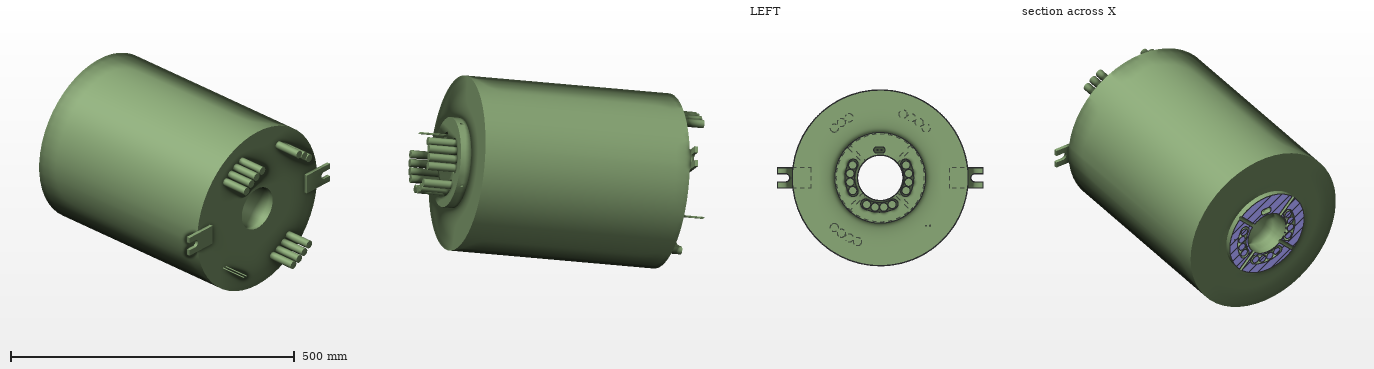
import cadquery as cq
import math

overall_length = 501
cable_length = 50.0

housing_diameter = 310.0
flange_diameter = 160.0
flange_thickness = 18.5
gap_width = 1.5
gap_neck_diameter = 155.5
bore_diameter = 79.5

screw_hole_diameter = 6.0
screw_hole_angles = (45, 135, 225, 315)

cable_diameter = 14.5
cables_per_group = 4
wire_spacing = 7.0
wire_diameter = 2.0

rotor_offset_y = 1.5
rotor_cable_radius = 52.0
rotor_cable_pitch_angle = 17
rotor_group_angles = (0, 180, 270)
cable_slot_width = 17.0
cable_slot_half_angle = 28
wire_slot_length = 20.0
wire_slot_width = 11.0
wire_height = 49.0

stator_cable_radius = 119.0
stator_cable_pitch_angle = 7.7
stator_group_tilt = 31.2
stator_full_group_angles = (90 + stator_group_tilt, 270 + stator_group_tilt)
stator_short_group_angle = 90 - stator_group_tilt
stator_short_group_count = 3
stator_wire_angle = 225

tab_span = 362.0
tab_length = 59.0
tab_width = 36.0
tab_thickness = 6.0
fork_width = 14.0
fork_depth = 21.5

rotor_cable_end_x = -overall_length / 2
flange_x = rotor_cable_end_x + cable_length
gap_x = flange_x + flange_thickness
housing_x = gap_x + gap_width
housing_end_x = overall_length / 2 - cable_length


def section(x):
    """Workplane across the axis: local x is Y, local y is Z, extrusion runs toward +X."""
    return cq.Workplane("YZ", origin=(x, 0, 0))


def polar(radius, angle, center_y=0):
    """Point across the axis at an angle measured from +Y toward +Z."""
    turn = math.radians(angle)
    return (center_y + radius * math.cos(turn), radius * math.sin(turn))


def disc(x, length, diameter):
    """Round disc centred on the axis, starting at x."""
    return section(x).circle(diameter / 2).extrude(length)


def rods(x, length, diameter, points):
    """Parallel round rods starting at x, one at each point."""
    return section(x).pushPoints(points).circle(diameter / 2).extrude(length)


def group_points(radius, middle_angle, pitch_angle, center_y=0):
    """Cable centres of one group, spread evenly along an arc."""
    first_angle = middle_angle - pitch_angle * (cables_per_group - 1) / 2
    return [polar(radius, first_angle + i * pitch_angle, center_y) for i in range(cables_per_group)]


def wire_pair(y, z):
    """Centres of two signal wires side by side along Y."""
    return [(y - wire_spacing / 2, z), (y + wire_spacing / 2, z)]


def cable_slot(middle_angle):
    """Curved round-ended slot through the flange."""
    start = middle_angle - cable_slot_half_angle
    end = middle_angle + cable_slot_half_angle
    inner = rotor_cable_radius - cable_slot_width / 2
    outer = rotor_cable_radius + cable_slot_width / 2

    def at(radius, angle):
        return polar(radius, angle, rotor_offset_y)

    cap_angle = math.degrees(cable_slot_width / 2 / rotor_cable_radius)
    return (
        section(flange_x)
        .moveTo(*at(inner, start))
        .threePointArc(at(inner, middle_angle), at(inner, end))
        .threePointArc(at(rotor_cable_radius, end + cap_angle), at(outer, end))
        .threePointArc(at(outer, middle_angle), at(outer, start))
        .threePointArc(at(rotor_cable_radius, start - cap_angle), at(inner, start))
        .close()
        .extrude(flange_thickness)
    )


def tab(side):
    """Forked plate on the housing end; side is +1 for +Y and -1 for -Y."""
    tip_y = side * tab_span / 2
    plate = (
        section(housing_end_x)
        .center(tip_y - side * tab_length / 2, 0)
        .rect(tab_length, tab_width)
        .extrude(tab_thickness)
    )
    fork = (
        section(housing_end_x)
        .center(tip_y, 0)
        .slot2D(2 * fork_depth, fork_width)
        .extrude(tab_thickness)
    )
    return plate.cut(fork)


result = (
    disc(housing_x, housing_end_x - housing_x, housing_diameter)
    .union(disc(gap_x, gap_width, gap_neck_diameter))
    .union(disc(flange_x, flange_thickness, flange_diameter))
    .cut(disc(flange_x, housing_end_x - flange_x, bore_diameter))
)

for angle in screw_hole_angles:
    screw_hole = (
        cq.Workplane("XY", origin=(flange_x + flange_thickness / 2, 0, 0))
        .circle(screw_hole_diameter / 2)
        .extrude(flange_diameter / 2)
        .rotate((0, 0, 0), (1, 0, 0), angle)
    )
    result = result.cut(screw_hole)

for angle in rotor_group_angles:
    result = result.cut(cable_slot(angle))
wire_slot = (
    section(flange_x)
    .center(rotor_offset_y, wire_height)
    .slot2D(wire_slot_length, wire_slot_width)
    .extrude(flange_thickness)
)
result = result.cut(wire_slot)

rotor_cable_length = gap_x - rotor_cable_end_x
for angle in rotor_group_angles:
    points = group_points(rotor_cable_radius, angle, rotor_cable_pitch_angle, rotor_offset_y)
    result = result.union(rods(rotor_cable_end_x, rotor_cable_length, cable_diameter, points))
rotor_wire_points = wire_pair(rotor_offset_y, wire_height)
result = result.union(rods(rotor_cable_end_x, rotor_cable_length, wire_diameter, rotor_wire_points))

short_group = group_points(stator_cable_radius, stator_short_group_angle, stator_cable_pitch_angle)
stator_cable_points = short_group[:stator_short_group_count]
for angle in stator_full_group_angles:
    stator_cable_points += group_points(stator_cable_radius, angle, stator_cable_pitch_angle)
result = result.union(rods(housing_end_x, cable_length, cable_diameter, stator_cable_points))
stator_wire_points = wire_pair(*polar(stator_cable_radius, stator_wire_angle))
result = result.union(rods(housing_end_x, cable_length, wire_diameter, stator_wire_points))

for side in (1, -1):
    result = result.union(tab(side))